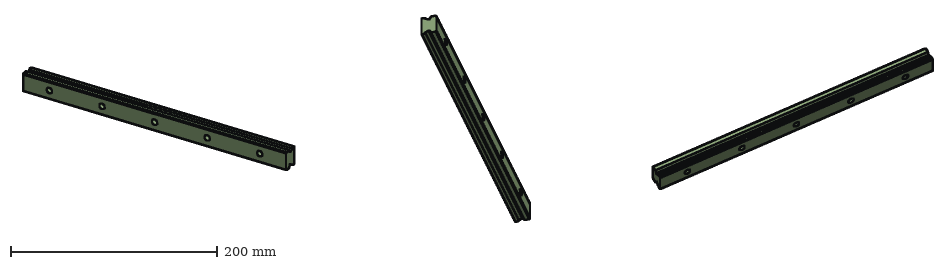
import cadquery as cq
import math

length = 300.0
depth = 15.5
height = 20.0

front_chamfer = 1.0
back_chamfer = 0.7

wall_angle = math.radians(60)
ramp_angle = math.radians(30)
floor_start_y = 7.3
floor_end_y = 8.2

lip_start_y = 13.2
lip_radius = 2.0
lip_sweep = math.radians(60)
lip_drop = lip_radius * (1 - math.cos(lip_sweep))
lip_foot_y = lip_start_y - lip_radius * math.sin(lip_sweep)

floor_drop = lip_drop + (lip_foot_y - floor_end_y) * math.tan(ramp_angle)
wall_top_y = floor_start_y - floor_drop / math.tan(wall_angle)

hole_diameter = 6.0
hole_count = 5
hole_pitch = length / hole_count


def half_body(side):
    """Rail between mid-height and its top (side = 1) or bottom (side = -1) face."""

    def point(y, drop):
        return (y, side * (height / 2 - drop))

    lip_middle = point(
        lip_start_y - lip_radius * math.sin(lip_sweep / 2),
        lip_radius * (1 - math.cos(lip_sweep / 2)),
    )

    return (
        cq.Workplane("YZ")
        .moveTo(0, 0)
        .lineTo(*point(0, front_chamfer))
        .lineTo(*point(front_chamfer, 0))
        .lineTo(*point(wall_top_y, 0))
        .lineTo(*point(floor_start_y, floor_drop))
        .lineTo(*point(floor_end_y, floor_drop))
        .lineTo(*point(lip_foot_y, lip_drop))
        .threePointArc(lip_middle, point(lip_start_y, 0))
        .lineTo(*point(depth - back_chamfer, 0))
        .lineTo(*point(depth, back_chamfer))
        .lineTo(depth, 0)
        .close()
        .extrude(length / 2, both=True)
    )


def mounting_holes():
    """Plain holes running through the rail from front to back."""
    return (
        cq.Workplane("XZ")
        .rarray(hole_pitch, 1, hole_count, 1)
        .circle(hole_diameter / 2)
        .extrude(-depth)
    )


rail = half_body(1).union(half_body(-1)).clean()
result = rail.cut(mounting_holes())